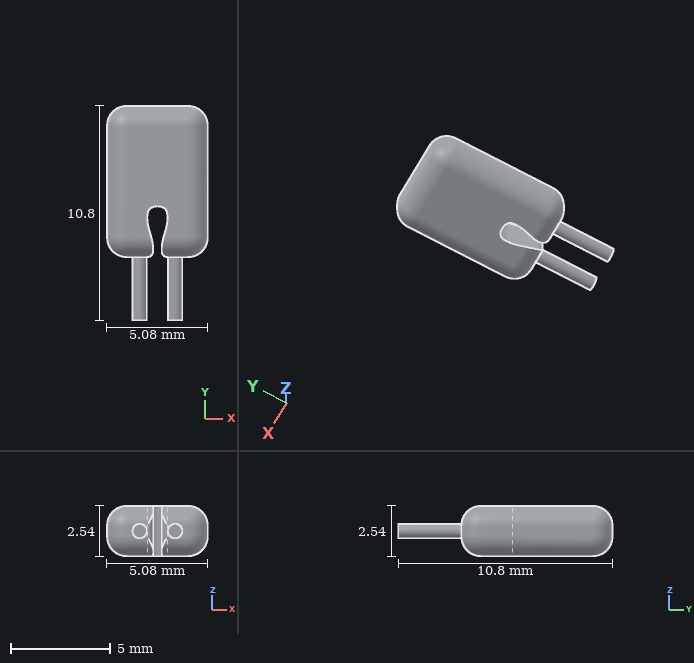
import cadquery as cq

BODY_WIDTH = 5.08
BODY_LENGTH = 7.62
BODY_THICKNESS = 2.54
EDGE_RADIUS = 1.0

SLOT_DEPTH = 2.56
HEAD_HALF_WIDTH = 0.505
HEAD_WIDEST_Y = 2.0
HEAD_SHOULDER = (0.39, 2.43)
THROAT_HALF_WIDTH = 0.21
THROAT_Y = 0.40
MOUTH_RADIUS = 0.30

LEAD_DIAMETER = 0.73
LEAD_PITCH = 1.78
LEAD_LENGTH = 3.17


def make_slot():
    """Keyhole cutter, mirrored about X = 0, open at the lead end."""
    mouth_half_width = THROAT_HALF_WIDTH + MOUTH_RADIUS
    half_profile = (
        cq.Workplane("XY", origin=(0, 0, -BODY_THICKNESS / 2))
        .moveTo(0, 0)
        .lineTo(mouth_half_width, 0)
        .radiusArc((THROAT_HALF_WIDTH, MOUTH_RADIUS), MOUTH_RADIUS)
        .lineTo(THROAT_HALF_WIDTH, THROAT_Y)
        .spline(
            [(HEAD_HALF_WIDTH, HEAD_WIDEST_Y)],
            tangents=[(0, 1), (0, 1)],
            includeCurrent=True,
        )
        .spline(
            [HEAD_SHOULDER, (0, SLOT_DEPTH)],
            tangents=[(0, 1), (-1, 0)],
            includeCurrent=True,
        )
        .close()
    )
    half_slot = half_profile.extrude(BODY_THICKNESS)
    return half_slot.union(half_slot.mirror("YZ"))


def make_body():
    """Block with every edge rounded and the keyhole slot cut right through."""
    return (
        cq.Workplane("XY", origin=(0, BODY_LENGTH / 2, 0))
        .box(BODY_WIDTH, BODY_LENGTH, BODY_THICKNESS)
        .edges()
        .fillet(EDGE_RADIUS)
        .cut(make_slot())
        .solids()
    )


def make_lead(x, body):
    """Straight round wire whose inner end is shaped to sit on the body's rounded end."""
    overrun = EDGE_RADIUS / 2
    return (
        cq.Workplane("XZ", origin=(x, overrun, 0))
        .circle(LEAD_DIAMETER / 2)
        .extrude(overrun + LEAD_LENGTH)
        .cut(body)
        .solids()
    )


body = make_body()
leads = [make_lead(side * LEAD_PITCH / 2, body) for side in (-1, 1)]

result = cq.Compound.makeCompound([body.val(), *[lead.val() for lead in leads]])